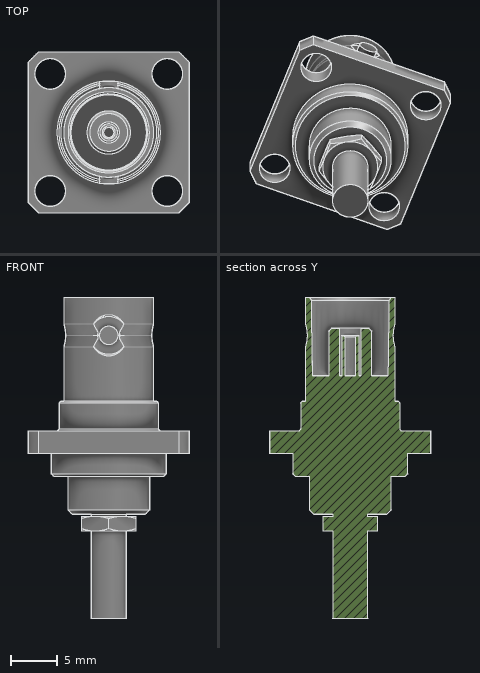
import cadquery as cq
import math

flange_width = 17.5
flange_thickness = 2.45
flange_corner_clip = 1.15
mount_hole_diameter = 3.3
mount_hole_spacing = 12.7

overall_height = 34.85
barrel_height = 14.5
top_z = flange_thickness + barrel_height
bottom_z = top_z - overall_height

collar_radius = 5.4
collar_height = 3.25
collar_chamfer = 0.2
collar_foot = 0.2
barrel_radius = 4.87

lug_z = top_z - 4.13
groove_half_height = 1.25
groove_depth = 0.2

lug_radius = 1.0
lug_root_radius = 1.2
lug_tip_y = 5.55
lug_pocket_floor_radius = 2.05
lug_pocket_floor_y = 4.58
lug_pocket_flare = 32

bore_rim_radius = 4.4
bore_mouth_radius = 4.2
bore_mouth_depth = 0.35
bore_floor_radius = 4.08
bore_depth = 8.5

insulator_radius = 2.35
insulator_chamfer = 0.3
insulator_top_z = top_z - 3.35
insulator_hole_radius = 1.15
contact_radius = 0.95
contact_hole_radius = 0.55
contact_hole_chamfer = 0.15
contact_top_z = insulator_top_z - 0.8

shoulder_radius = 6.25
shoulder_height = 2.5
shoulder_chamfer = 0.3
body_radius = 4.45
body_height = 4.1
body_chamfer = 0.5
body_bottom_z = -shoulder_height - body_height

nut_across_flats = 5.95
nut_thickness = 1.6
nut_gap = 0.2
nut_chamfer = 0.25
tube_radius = 1.92


def cylinder(radius, low_z, high_z):
    return cq.Workplane("XY").workplane(offset=low_z).circle(radius).extrude(high_z - low_z)


def make_flange():
    plate = cq.Workplane("XY").rect(flange_width, flange_width).extrude(flange_thickness)
    plate = plate.edges("|Z").chamfer(flange_corner_clip)
    return (
        plate.faces(">Z").workplane()
        .rect(mount_hole_spacing, mount_hole_spacing, forConstruction=True)
        .vertices().hole(mount_hole_diameter)
    )


def make_turned_body():
    """Revolved outside profile: tube, stepped body, collar and grooved barrel."""
    collar_top_z = flange_thickness + collar_height
    profile = [
        (0, bottom_z),
        (tube_radius, bottom_z),
        (tube_radius, body_bottom_z),
        (body_radius - body_chamfer, body_bottom_z),
        (body_radius, body_bottom_z + body_chamfer),
        (body_radius, -shoulder_height),
        (shoulder_radius - shoulder_chamfer, -shoulder_height),
        (shoulder_radius, -shoulder_height + shoulder_chamfer),
        (shoulder_radius, 0),
        (collar_radius + collar_foot, flange_thickness),
        (collar_radius, flange_thickness + collar_foot),
        (collar_radius, collar_top_z - collar_chamfer),
        (collar_radius - collar_chamfer, collar_top_z),
        (barrel_radius, collar_top_z),
        (barrel_radius, lug_z - groove_half_height),
        (barrel_radius - groove_depth, lug_z),
        (barrel_radius, lug_z + groove_half_height),
        (barrel_radius, top_z),
        (0, top_z),
    ]
    return cq.Workplane("XZ").polyline(profile).close().revolve(360, (0, 0), (0, 1))


def make_nut():
    nut_top_z = body_bottom_z - nut_gap
    nut_bottom_z = nut_top_z - nut_thickness
    corner_diameter = nut_across_flats / math.cos(math.pi / 6)
    hexagon = (
        cq.Workplane("XY").workplane(offset=nut_bottom_z)
        .polygon(6, corner_diameter).extrude(nut_thickness)
        .rotate((0, 0, 0), (0, 0, 1), 90)
    )
    rounding = cylinder(corner_diameter / 2, nut_bottom_z, nut_top_z).edges().chamfer(
        nut_chamfer, corner_diameter / 2 - nut_across_flats / 2
    )
    return hexagon.intersect(rounding)


def make_socket():
    """Cavity of the barrel, leaving the insulator and the hollow contact standing."""
    floor_z = top_z - bore_depth
    bore_profile = [
        (0, floor_z),
        (bore_floor_radius, floor_z),
        (bore_mouth_radius, top_z - bore_mouth_depth),
        (bore_rim_radius, top_z),
        (0, top_z),
    ]
    cavity = cq.Workplane("XZ").polyline(bore_profile).close().revolve(360, (0, 0), (0, 1))
    insulator = cylinder(insulator_radius, floor_z, insulator_top_z)
    insulator = insulator.faces(">Z").edges().chamfer(insulator_chamfer)
    insulator = insulator.cut(cylinder(insulator_hole_radius, floor_z, insulator_top_z))
    contact = cylinder(contact_radius, floor_z, contact_top_z)
    contact = contact.cut(cylinder(contact_hole_radius, floor_z, contact_top_z))
    contact = contact.faces(">Z").edges("%CIRCLE").edges(cq.selectors.RadiusNthSelector(0))
    contact = contact.chamfer(contact_hole_chamfer)
    return cavity.cut(insulator).cut(contact)


def lug_plane(side, distance):
    """Plane across the lug axis, facing outwards on the given side of the barrel."""
    return cq.Plane((0, side * distance, lug_z), (1, 0, 0), (0, side, 0))


def make_lug_blank(side):
    """Plain cylinder, rooted in the barrel wall, that the lug pocket is cut into."""
    wall_middle_y = (bore_rim_radius + barrel_radius - groove_depth) / 2
    blank = cq.Workplane(lug_plane(side, wall_middle_y)).circle(lug_root_radius)
    return blank.extrude(lug_tip_y - wall_middle_y)


def make_lug_pocket(side):
    """Flared round pocket with a flat floor, leaving the lug standing in its middle."""
    floor = lug_plane(side, lug_pocket_floor_y)
    depth = lug_tip_y - lug_pocket_floor_y
    pocket = cq.Workplane(floor).circle(lug_pocket_floor_radius).extrude(depth, taper=-lug_pocket_flare)
    lug = cq.Workplane(floor).circle(lug_radius).extrude(depth)
    return pocket.cut(lug)


result = make_turned_body().union(make_flange()).union(make_nut()).cut(make_socket())
for side in (-1, 1):
    result = result.union(make_lug_blank(side)).cut(make_lug_pocket(side))